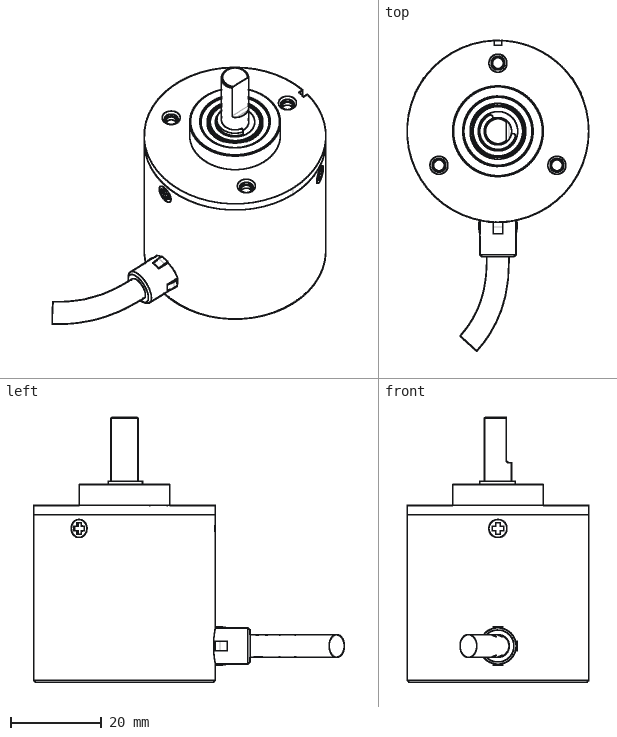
import cadquery as cq
import math

BODY_DIA = 40.1
BODY_RADIUS = BODY_DIA / 2
TOTAL_LENGTH = 68.5
TOTAL_HEIGHT = 58.4
HOUSING_HEIGHT = 36.9
HOUSING_CHAMFER = 0.5

PLATE_THICKNESS = 2.05
BOSS_DIA = 20.0
BOSS_HEIGHT = 4.7
BOSS_CHAMFER = 0.2
PLATE_TOP = HOUSING_HEIGHT + PLATE_THICKNESS
BOSS_TOP = PLATE_TOP + BOSS_HEIGHT
NOTCH_WIDTH = 1.65
NOTCH_DEPTH = 1.1

BEARING_DIA = 15.0
BEARING_RECESS = 0.2
BEARING_FLARE = 0.3
BEARING_FACE = BOSS_TOP - BEARING_RECESS
SEAL_OUTER_DIA = 12.3
SEAL_INNER_DIA = 11.6
SEAL_DEPTH = 0.3
SEAL_LEDGE_WIDTH = 0.2
SEAL_BEVEL = 0.15

MOUNT_COUNT = 3
MOUNT_FIRST_ANGLE = 90.0
MOUNT_CIRCLE_DIA = 30.0
MOUNT_HOLE_DIA = 2.4
MOUNT_SINK_DIA = 4.0
MOUNT_THREAD_DIA = 3.0
MOUNT_THREAD_DEPTH = 1.1

SHAFT_DIA = 6.0
SHAFT_CHAMFER = 0.3
JOURNAL_DIA = 8.7
FLAT_OFFSET = 1.85
FLAT_BOTTOM = 48.4
FLAT_FILLET = 0.55
RING_DIA = 8.0
RING_TOP = 44.3
RING_GAP_START = -9.0
RING_GAP_END = 110.0
RING_CORNER_RADIUS = 0.5

SCREW_COUNT = 3
SCREW_FIRST_ANGLE = 30.0
SCREW_Z = 33.9
SCREW_HEAD_DIA = 4.0
SCREW_HEAD_HEIGHT = 1.4
CROSS_LENGTH = 2.6
CROSS_WIDTH = 1.0
CROSS_DEPTH = 0.5

GLAND_Z = 8.0
GLAND_DIA = 8.0
GLAND_END = 27.7
GLAND_CHAMFER = 0.5
GLAND_INSERTION = 2.05
TAB_COUNT = 4
TAB_WIDTH = 2.05
TAB_RISE = 0.3
TAB_FLAT_LENGTH = 0.95
TAB_LENGTH = 2.6
CABLE_DIA = 5.0
CABLE_MID_OFFSET = 1.5
CABLE_MID_REACH = 38.35
CABLE_END_OFFSET = 6.5
CABLE_END_ANGLE = 42.3


def disc(diameter, bottom, top):
    """Cylinder on the Z axis between two heights."""
    return cq.Workplane("XY").workplane(offset=bottom).circle(diameter / 2).extrude(top - bottom)


def polar_angles(count, first):
    return [first + 360 * i / count for i in range(count)]


def gland_cylinder(diameter, inner_y, outer_y):
    """Cylinder on the gland axis between two distances from the housing axis."""
    start = cq.Workplane("XZ", origin=(0, -inner_y, GLAND_Z))
    return start.circle(diameter / 2).extrude(outer_y - inner_y)


def turned_to_rim(shape, angle):
    """Move a shape built along +X from the origin to the housing rim at the given angle."""
    return shape.translate((BODY_RADIUS, 0, SCREW_Z)).rotate((0, 0, 0), (0, 0, 1), angle)


def make_housing():
    body = disc(BODY_DIA, 0, HOUSING_HEIGHT).faces("<Z").edges().chamfer(HOUSING_CHAMFER)
    for angle in polar_angles(SCREW_COUNT, SCREW_FIRST_ANGLE):
        body = body.cut(turned_to_rim(screw_blank(), angle))
    gland_hole = gland_cylinder(GLAND_DIA, BODY_RADIUS - GLAND_INSERTION, BODY_RADIUS)
    return body.cut(gland_hole)


def make_mount_hole():
    """Cutter for one mounting hole: countersink, thread and tap drill, placed at angle zero."""
    sink_bottom = PLATE_TOP - (MOUNT_SINK_DIA - MOUNT_THREAD_DIA) / 2
    thread_bottom = PLATE_TOP - MOUNT_THREAD_DEPTH
    hole = (
        cq.Workplane("XZ")
        .moveTo(0, HOUSING_HEIGHT)
        .lineTo(MOUNT_HOLE_DIA / 2, HOUSING_HEIGHT)
        .lineTo(MOUNT_HOLE_DIA / 2, thread_bottom)
        .lineTo(MOUNT_THREAD_DIA / 2, thread_bottom)
        .lineTo(MOUNT_THREAD_DIA / 2, sink_bottom)
        .lineTo(MOUNT_SINK_DIA / 2, PLATE_TOP)
        .lineTo(0, PLATE_TOP)
        .close()
        .revolve(360, (0, 0), (0, 1))
    )
    return hole.translate((MOUNT_CIRCLE_DIA / 2, 0, 0))


def make_flange():
    plate = disc(BODY_DIA, HOUSING_HEIGHT, PLATE_TOP)
    boss = disc(BOSS_DIA, PLATE_TOP, BOSS_TOP).faces(">Z").edges().chamfer(BOSS_CHAMFER)
    flange = plate.union(boss)

    rim_radius = BEARING_DIA / 2 + BEARING_FLARE
    recess = (
        cq.Workplane("XZ")
        .moveTo(0, BEARING_FACE)
        .lineTo(BEARING_DIA / 2, BEARING_FACE)
        .lineTo(rim_radius, BOSS_TOP)
        .lineTo(0, BOSS_TOP)
        .close()
        .revolve(360, (0, 0), (0, 1))
    )
    flange = flange.cut(recess)

    groove_floor = BEARING_FACE - SEAL_DEPTH
    ledge_z = BEARING_FACE - SEAL_BEVEL
    ledge_radius = SEAL_INNER_DIA / 2 - SEAL_LEDGE_WIDTH
    groove = (
        cq.Workplane("XZ")
        .moveTo(SEAL_INNER_DIA / 2, groove_floor)
        .lineTo(SEAL_OUTER_DIA / 2, groove_floor)
        .lineTo(SEAL_OUTER_DIA / 2, BEARING_FACE)
        .lineTo(ledge_radius - SEAL_BEVEL, BEARING_FACE)
        .lineTo(ledge_radius, ledge_z)
        .lineTo(SEAL_INNER_DIA / 2, ledge_z)
        .close()
        .revolve(360, (0, 0), (0, 1))
    )
    flange = flange.cut(groove)

    mount_hole = make_mount_hole()
    for angle in polar_angles(MOUNT_COUNT, MOUNT_FIRST_ANGLE):
        flange = flange.cut(mount_hole.rotate((0, 0, 0), (0, 0, 1), angle))

    notch = cq.Workplane("XY").box(NOTCH_WIDTH, 2 * NOTCH_DEPTH, PLATE_THICKNESS)
    flange = flange.cut(notch.translate((0, BODY_RADIUS, HOUSING_HEIGHT + PLATE_THICKNESS / 2)))
    return flange.cut(disc(JOURNAL_DIA, HOUSING_HEIGHT, BOSS_TOP))


def make_snap_ring():
    """Open ring around the shaft, its two free ends rounded on the outside."""
    thickness = RING_TOP - BEARING_FACE
    sector = [(0.0, 0.0)]
    for angle in (RING_GAP_START, (RING_GAP_START + RING_GAP_END) / 2, RING_GAP_END):
        a = math.radians(angle)
        sector.append((RING_DIA * math.cos(a), RING_DIA * math.sin(a)))
    gap = cq.Workplane("XY").workplane(offset=BEARING_FACE).polyline(sector).close().extrude(thickness)
    ring = disc(RING_DIA, BEARING_FACE, RING_TOP).cut(disc(SHAFT_DIA, BEARING_FACE, RING_TOP)).cut(gap)
    for angle in (RING_GAP_START, RING_GAP_END):
        a = math.radians(angle)
        corner = (RING_DIA / 2 * math.cos(a), RING_DIA / 2 * math.sin(a), BEARING_FACE + thickness / 2)
        ring = ring.edges(cq.selectors.NearestToPointSelector(corner)).fillet(RING_CORNER_RADIUS)
    return ring


def make_shaft():
    stem = disc(SHAFT_DIA, HOUSING_HEIGHT, TOTAL_HEIGHT).faces(">Z").edges().chamfer(SHAFT_CHAMFER)
    flat = (
        cq.Workplane("XY")
        .box(SHAFT_DIA, SHAFT_DIA, TOTAL_HEIGHT - FLAT_BOTTOM, centered=(False, True, False))
        .translate((FLAT_OFFSET, 0, FLAT_BOTTOM))
        .edges("<X and <Z")
        .fillet(FLAT_FILLET)
    )
    journal = disc(JOURNAL_DIA, HOUSING_HEIGHT, BEARING_FACE)

    return stem.cut(flat).union(journal).union(make_snap_ring())


def screw_blank():
    """Screw head along +X, its outer face at the origin."""
    return cq.Workplane("YZ").circle(SCREW_HEAD_DIA / 2).extrude(-SCREW_HEAD_HEIGHT)


def make_screws():
    cross = (
        cq.Workplane("YZ").rect(CROSS_LENGTH, CROSS_WIDTH).extrude(-CROSS_DEPTH)
        .union(cq.Workplane("YZ").rect(CROSS_WIDTH, CROSS_LENGTH).extrude(-CROSS_DEPTH))
    )
    screw = screw_blank().cut(cross)
    return [turned_to_rim(screw, angle) for angle in polar_angles(SCREW_COUNT, SCREW_FIRST_ANGLE)]


def make_cable():
    gland = gland_cylinder(GLAND_DIA, BODY_RADIUS - GLAND_INSERTION, GLAND_END)
    gland = gland.faces("<Y").edges().chamfer(GLAND_CHAMFER)

    tab = (
        cq.Workplane("YZ")
        .moveTo(-BODY_RADIUS, 0)
        .lineTo(-BODY_RADIUS, GLAND_DIA / 2 + TAB_RISE)
        .lineTo(-BODY_RADIUS - TAB_FLAT_LENGTH, GLAND_DIA / 2 + TAB_RISE)
        .lineTo(-BODY_RADIUS - TAB_LENGTH, GLAND_DIA / 2)
        .lineTo(-BODY_RADIUS - TAB_LENGTH, 0)
        .close()
        .extrude(TAB_WIDTH / 2, both=True)
    )
    for angle in polar_angles(TAB_COUNT, 0):
        gland = gland.union(tab.rotate((0, 0, 0), (0, 1, 0), angle).translate((0, 0, GLAND_Z)))

    end_angle = math.radians(CABLE_END_ANGLE)
    end_y = BODY_RADIUS - TOTAL_LENGTH + CABLE_DIA / 2 * math.sin(end_angle)
    path = cq.Workplane("XY", origin=(0, 0, GLAND_Z)).spline(
        [(0, -GLAND_END), (-CABLE_MID_OFFSET, -CABLE_MID_REACH), (-CABLE_END_OFFSET, end_y)],
        tangents=[(0, -1), (-math.sin(end_angle), -math.cos(end_angle))],
    )
    section = cq.Workplane("XZ", origin=(0, -GLAND_END, GLAND_Z)).circle(CABLE_DIA / 2)
    return gland.union(section.sweep(path))


housing = make_housing()
flange = make_flange()
shaft = make_shaft()
screws = make_screws()
cable = make_cable()

result = cq.Compound.makeCompound(
    [housing.val(), flange.val(), shaft.val(), cable.val()] + [screw.val() for screw in screws]
)